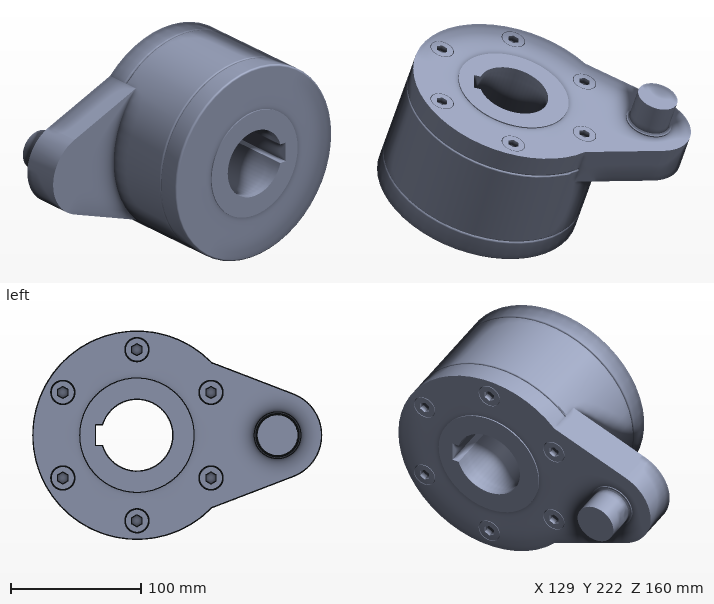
import cadquery as cq
import math

body_diameter = 160.0
body_length = 102.0
hub_radius = 44.0
hub_height = 1.0

bore_radius = 27.5
keyway_width = 15.8
keyway_reach = 31.7

lug_thickness = 30.0
lug_end_radius = 34.0
lug_side_angle = 21.0
overall_width = 222.0

pin_radius = 15.8
pin_height = 26.0
pin_collar_radius = 18.0
pin_collar_height = hub_height
pin_foot_flare = 0.9
pin_crown = 0.1

joint_inset = 17.8
rim_radius = 1.5

bolt_count = 6
bolt_circle_radius = 65.7
bolt_seat_radius = 9.3
bolt_head_radius = 8.9
bolt_head_height = 10.0
hex_across_flats = 8.0
hex_depth = 4.9

body_radius = body_diameter / 2
hub_length = body_length + 2 * hub_height
pin_offset = overall_width - body_radius - lug_end_radius


def disc(radius, start, length, y=0.0, z=0.0):
    """Cylinder along +X starting at x = start."""
    return cq.Workplane("YZ", origin=(start, y, z)).circle(radius).extrude(length)


def make_body():
    """Drum of three rings; rounded rims form a cusped groove at each joint and ease the rear end."""
    groove_floor = body_radius - rim_radius
    section = cq.Workplane("XY").lineTo(0, body_radius)
    for joint in (joint_inset, body_length - joint_inset):
        section = (
            section.lineTo(joint - rim_radius, body_radius)
            .radiusArc((joint, groove_floor), rim_radius)
            .radiusArc((joint + rim_radius, body_radius), rim_radius)
        )
    section = (
        section.lineTo(body_length - rim_radius, body_radius)
        .radiusArc((body_length, groove_floor), rim_radius)
        .lineTo(body_length, 0)
        .close()
    )
    return section.revolve(360, (0, 0, 0), (1, 0, 0))


def make_lug():
    """Tapered lug: two flanks tangent to the rounded end, running back into the drum."""
    angle = math.radians(lug_side_angle)
    tangent_y = -pin_offset - lug_end_radius * math.sin(angle)
    tangent_z = lug_end_radius * math.cos(angle)

    flank_distance = lug_end_radius + pin_offset * math.sin(angle)
    root_angle = math.pi / 2 + angle + math.acos(flank_distance / body_radius)
    root_y = body_radius * math.cos(root_angle)
    root_z = body_radius * math.sin(root_angle)

    return (
        cq.Workplane("YZ")
        .moveTo(root_y, root_z)
        .lineTo(tangent_y, tangent_z)
        .threePointArc((-pin_offset - lug_end_radius, 0), (tangent_y, -tangent_z))
        .lineTo(root_y, -root_z)
        .close()
        .extrude(lug_thickness)
    )


def make_hub():
    """Raised ring face at both ends of the drum, made as one core through it."""
    return disc(hub_radius, -hub_height, hub_length)


def make_pin():
    """Slightly barrel-shaped pin on a thin collar, flared where it meets the collar."""
    foot_x = -pin_collar_height
    half_section = (
        cq.Workplane("XY")
        .lineTo(0, pin_collar_radius)
        .lineTo(foot_x, pin_collar_radius)
        .lineTo(foot_x, pin_radius + pin_foot_flare)
        .lineTo(foot_x - pin_foot_flare, pin_radius)
        .threePointArc(
            ((foot_x - pin_foot_flare - pin_height) / 2, pin_radius + pin_crown),
            (-pin_height, pin_radius),
        )
        .lineTo(-pin_height, 0)
        .close()
    )
    return half_section.revolve(360, (0, 0, 0), (1, 0, 0)).translate((0, -pin_offset, 0))


def make_bore():
    """Through bore with a keyway on the +Y side."""
    keyway = (
        cq.Workplane("XY", origin=(-hub_height, 0, 0))
        .box(hub_length, keyway_reach, keyway_width, centered=(False, False, True))
    )
    return disc(bore_radius, -hub_height, hub_length).union(keyway)


def make_bolt_recesses():
    """Thin gap around each flush bolt head, plus its hex socket with corners up and down."""
    recesses = cq.Workplane("YZ")
    hex_corner_diameter = hex_across_flats / math.cos(math.pi / 6)
    for index in range(bolt_count):
        angle = math.pi / 2 + index * 2 * math.pi / bolt_count
        y = bolt_circle_radius * math.cos(angle)
        z = bolt_circle_radius * math.sin(angle)
        gap = disc(bolt_seat_radius, 0, bolt_head_height, y, z)
        gap = gap.cut(disc(bolt_head_radius, 0, bolt_head_height, y, z))
        socket = (
            cq.Workplane("YZ", origin=(0, y, z))
            .transformed(rotate=(0, 0, 90))
            .polygon(6, hex_corner_diameter)
            .extrude(hex_depth)
        )
        recesses = recesses.add(gap).add(socket)
    return recesses.combine()


solid = make_body().union(make_lug()).union(make_hub()).union(make_pin())
result = solid.cut(make_bore()).cut(make_bolt_recesses())